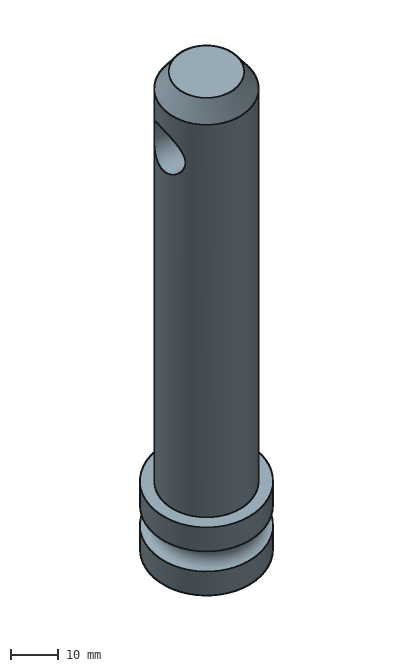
import cadquery as cq

total_length = 140.0
head_diameter = 28.0
shank_diameter = 22.0

head_height = 20.0
groove_radius = 3.0
collar_height = head_height / 2 - groove_radius

tip_diameter = 15.8
tip_height = 4.9

cross_hole_diameter = 12.0
cross_hole_height = 123.0


def make_pin_body():
    """Revolve the half profile of the head, shank and tip about Z."""
    head_radius = head_diameter / 2
    shank_radius = shank_diameter / 2
    groove_bottom_height = collar_height + groove_radius
    return (
        cq.Workplane("XZ")
        .moveTo(0, 0)
        .lineTo(head_radius, 0)
        .lineTo(head_radius, collar_height)
        .threePointArc(
            (head_radius - groove_radius, groove_bottom_height),
            (head_radius, collar_height + 2 * groove_radius),
        )
        .lineTo(head_radius, head_height)
        .lineTo(shank_radius, head_height)
        .lineTo(shank_radius, total_length - tip_height)
        .lineTo(tip_diameter / 2, total_length)
        .lineTo(0, total_length)
        .close()
        .revolve(360, (0, 0, 0), (0, 1, 0))
    )


def make_cross_hole():
    """Cylinder along Y that passes right through the shank."""
    return (
        cq.Workplane("XZ")
        .center(0, cross_hole_height)
        .circle(cross_hole_diameter / 2)
        .extrude(shank_diameter, both=True)
    )


result = make_pin_body().cut(make_cross_hole())